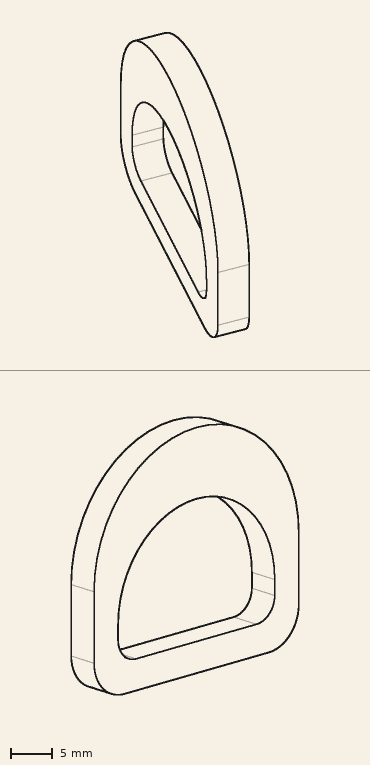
import cadquery as cq

width = 34.0
height = 31.0
thickness = 4.0
wall = 4.0
crown_wall = 9.0
outer_corner_radius = 5.0
inner_corner_radius = 3.0


def arch_plate(plate_width, bottom, top, corner_radius):
    """Plate with a semicircular top and two rounded bottom corners."""
    half_width = plate_width / 2
    spring_height = top - half_width
    return (
        cq.Workplane("XZ")
        .moveTo(-half_width, bottom)
        .lineTo(half_width, bottom)
        .lineTo(half_width, spring_height)
        .threePointArc((0, top), (-half_width, spring_height))
        .close()
        .extrude(thickness / 2, both=True)
        .edges("|Y and <Z")
        .fillet(corner_radius)
    )


body = arch_plate(width, 0, height, outer_corner_radius)

opening = arch_plate(width - 2 * wall, wall, height - crown_wall, inner_corner_radius)

result = body.cut(opening)